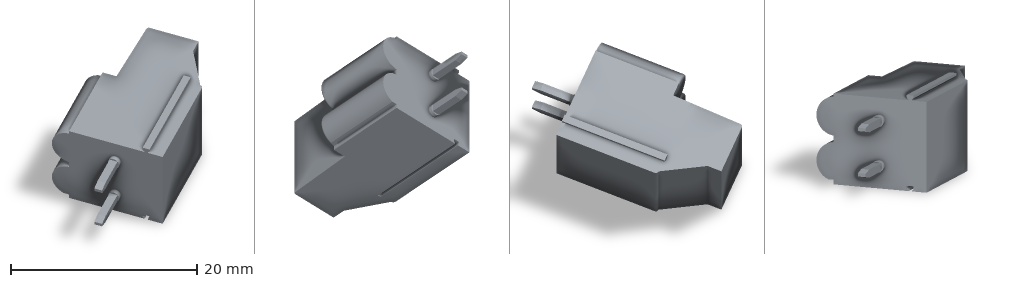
import cadquery as cq

pole_count = 2
row_height = 10.0
overall_width = 12.8
overall_depth = 23.0
pin_projection = 5.0
pitch = row_height / pole_count
housing_depth = overall_depth - pin_projection

side_x = 2.0
shoulder_depth = 9.75
tower_foot_x = 3.6
tower_top_x = 3.9
tower_right_x = 9.85
tower_right_height = 1.6
lip_radius = 0.32
slope_end_depth = 11.8
edge_radius = 0.25

column_radius = 2.15
flat_height = 0.5
fill_overlap = 0.23

rail_x = 10.9
rail_depth = 12.0
rail_height = 0.58
rail_head_height = 0.3
rail_neck_height = 0.07
rail_width = 0.8
rail_neck_width = 0.4

pin_x = 7.34
collar_diameter = 1.3
collar_length = 0.5
pin_size = 0.9
pin_tip_size = 0.37
pin_taper_length = 1.0

pole_heights = [(pole + 0.5) * pitch for pole in range(pole_count)]


def make_housing():
    """Prism with a stepped, sloped profile and one rounded far edge."""
    slope_end = (overall_width - lip_radius, slope_end_depth)
    lip_end = (overall_width, slope_end_depth - lip_radius)
    prism = (
        cq.Workplane("XY")
        .moveTo(side_x, 0)
        .lineTo(overall_width, 0)
        .lineTo(*lip_end)
        .radiusArc(slope_end, -lip_radius)
        .lineTo(tower_right_x, housing_depth - tower_right_height)
        .lineTo(tower_right_x, housing_depth)
        .lineTo(tower_top_x, housing_depth)
        .lineTo(tower_foot_x, shoulder_depth)
        .lineTo(side_x, shoulder_depth)
        .close()
        .extrude(row_height)
    )
    corner = cq.selectors.NearestToPointSelector((tower_top_x, housing_depth, row_height / 2))
    return prism.edges(corner).fillet(edge_radius)


def make_column(height):
    """Half-round column with a rounded far rim, trimmed flat below flat_height."""
    cylinder = (
        cq.Workplane("XZ", origin=(column_radius, 0, height))
        .circle(column_radius)
        .extrude(-shoulder_depth)
        .faces(">Y")
        .edges()
        .fillet(edge_radius)
    )
    keep_box = cq.Workplane("XY").box(
        side_x + fill_overlap, shoulder_depth, row_height - flat_height, centered=False
    )
    return cylinder.intersect(keep_box.translate((0, 0, flat_height)))


def make_rail(base_height):
    """Dovetail bar standing on the given height."""
    half_head = rail_width / 2
    half_neck = rail_neck_width / 2
    right_side = [
        (half_neck, 0),
        (half_neck, rail_neck_height),
        (half_head, rail_height - rail_head_height),
        (half_head, rail_height),
    ]
    left_side = [(-x, z) for x, z in reversed(right_side)]
    return (
        cq.Workplane("XZ", origin=(rail_x, 0, base_height))
        .polyline(right_side + left_side)
        .close()
        .extrude(-rail_depth)
    )


def make_pin(height):
    """Square pin on a round collar, its tip tapered above and below."""
    collar = (
        cq.Workplane("XZ", origin=(pin_x, 0, height))
        .circle(collar_diameter / 2)
        .extrude(collar_length)
    )
    half_size = pin_size / 2
    half_tip = pin_tip_size / 2
    taper_start = pin_taper_length - pin_projection
    side_outline = [
        (0, -half_size),
        (taper_start, -half_size),
        (-pin_projection, -half_tip),
        (-pin_projection, half_tip),
        (taper_start, half_size),
        (0, half_size),
    ]
    blade = (
        cq.Workplane("YZ", origin=(pin_x, 0, height))
        .polyline(side_outline)
        .close()
        .extrude(pin_size / 2, both=True)
    )
    return collar.union(blade)


result = make_housing()
for pole_height in pole_heights:
    result = result.union(make_column(pole_height)).union(make_pin(pole_height))
result = result.union(make_rail(row_height)).cut(make_rail(0))